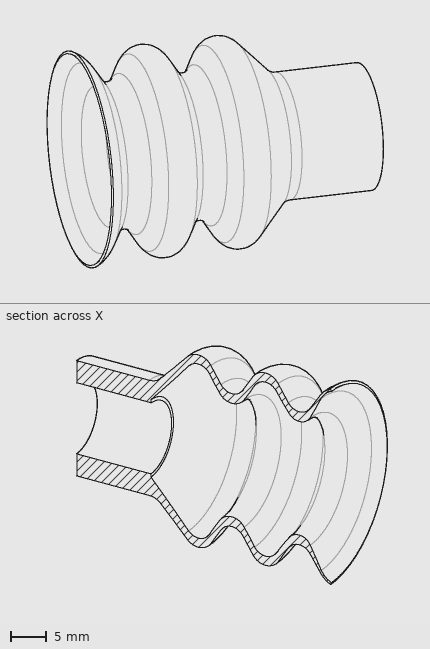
import cadquery as cq
import math


total_length = 41.7
neck_radius = 9.0
neck_bore_radius = 5.5
neck_fillet_radius = 2.5
neck_start_y = 29.77

first_root_y = 5.3
fold_pitch = 11.0
fold_count = 2

outer_crest_radius = 15
outer_crest_round = 2.5
outer_root_radius = 10.4
outer_root_round = 2.1

inner_crest_radius = 13.5
inner_crest_round = 2.1
inner_root_radius = 8.8
inner_root_round = 2.4
inner_lip_root_round = 2.1
inner_step_radius = 6.0
inner_step_y = 29.52

lip_radius = 15.25
lip_bevel_width = 0.38
lip_bevel_height = 0.15
outer_flare_round = 4.15
outer_flare_centre_y = -1.6
inner_flare_round = 3.2
inner_flare_centre_y = -1.2

outer_rim = (lip_radius, lip_bevel_height)
inner_rim = (lip_radius - lip_bevel_width, 0)


def flare_round(rim, corner_radius, centre_y):
    """Round of the lip flare, centred at centre_y and passing through the rim point."""
    rise = rim[1] - centre_y
    return (rim[0] - math.sqrt(corner_radius**2 - rise**2), centre_y, corner_radius)


def fold_rounds(root_radius, lip_root_round, root_round, crest_radius, crest_round):
    """Alternating root and crest rounds of all folds, from the lip to the neck.

    The root next to the lip has its own corner radius.
    """
    rounds = []
    for fold in range(fold_count):
        root_y = first_root_y + fold * fold_pitch
        crest_y = root_y + fold_pitch / 2
        this_root_round = lip_root_round if fold == 0 else root_round
        rounds.append((root_radius + this_root_round, root_y, this_root_round))
        rounds.append((crest_radius - crest_round, crest_y, crest_round))
    return rounds


def wall_ends(crest, root):
    """Ends of the straight wall that touches a crest round and the root round beside it."""
    dr = root[0] - crest[0]
    dy = root[1] - crest[1]
    towards_root = math.atan2(dy, dr)
    swing = math.acos((crest[2] + root[2]) / math.hypot(dr, dy))
    normal = max(towards_root - swing, towards_root + swing, key=math.cos)
    nr, ny = math.cos(normal), math.sin(normal)
    crest_end = (crest[0] + crest[2] * nr, crest[1] + crest[2] * ny)
    root_end = (root[0] - root[2] * nr, root[1] - root[2] * ny)
    return crest_end, root_end


def arc_middle(start, end, rounding):
    """Point halfway along the short arc of a round between two points on it."""
    dr = (start[0] + end[0]) / 2 - rounding[0]
    dy = (start[1] + end[1]) / 2 - rounding[1]
    stretch = rounding[2] / math.hypot(dr, dy)
    return (rounding[0] + dr * stretch, rounding[1] + dy * stretch)


def bellows_face(rim, rounds, neck_end):
    """Open profile from the rim to the neck; rounds alternate crest, root, crest, ..."""
    profile = cq.Workplane("XY").moveTo(*rim)
    arc_start = rim
    for index in range(len(rounds) - 1):
        here, following = rounds[index], rounds[index + 1]
        if index % 2 == 0:
            arc_end, next_start = wall_ends(here, following)
        else:
            next_start, arc_end = wall_ends(following, here)
        profile = profile.threePointArc(arc_middle(arc_start, arc_end, here), arc_end)
        profile = profile.lineTo(*next_start)
        arc_start = next_start
    if rounds[-1][2] > 0:
        profile = profile.threePointArc(arc_middle(arc_start, neck_end, rounds[-1]), neck_end)
    return profile


def revolve_about_y(outline):
    """Full turn of a closed outline about the part's axis."""
    return outline.revolve(360, (0, 0), (0, 1))


def bellows_solid(rim, flare, folds, neck_round, neck_end):
    """Solid of revolution between a bellows face and the axis."""
    profile = bellows_face(rim, [flare, *folds, neck_round], neck_end)
    outline = profile.lineTo(0, neck_end[1]).lineTo(0, rim[1]).close()
    return revolve_about_y(outline)


outer_bellows = bellows_solid(
    outer_rim,
    flare_round(outer_rim, outer_flare_round, outer_flare_centre_y),
    fold_rounds(
        outer_root_radius, outer_root_round, outer_root_round, outer_crest_radius, outer_crest_round
    ),
    (neck_radius + neck_fillet_radius, neck_start_y, neck_fillet_radius),
    (neck_radius, neck_start_y),
)
bevel_outline = [(0, 0), inner_rim, outer_rim, (0, lip_bevel_height)]
rim_bevel = revolve_about_y(cq.Workplane("XY").polyline(bevel_outline).close())
neck = cq.Workplane("XZ", origin=(0, neck_start_y, 0)).circle(neck_radius)
neck = neck.extrude(neck_start_y - total_length)

cavity = bellows_solid(
    inner_rim,
    flare_round(inner_rim, inner_flare_round, inner_flare_centre_y),
    fold_rounds(
        inner_root_radius, inner_lip_root_round, inner_root_round, inner_crest_radius, inner_crest_round
    ),
    (inner_step_radius, inner_step_y, 0),
    (inner_step_radius, inner_step_y),
)
bore = cq.Workplane("XZ").circle(neck_bore_radius).extrude(-total_length)

result = outer_bellows.union(rim_bevel).union(neck).cut(cavity).cut(bore)